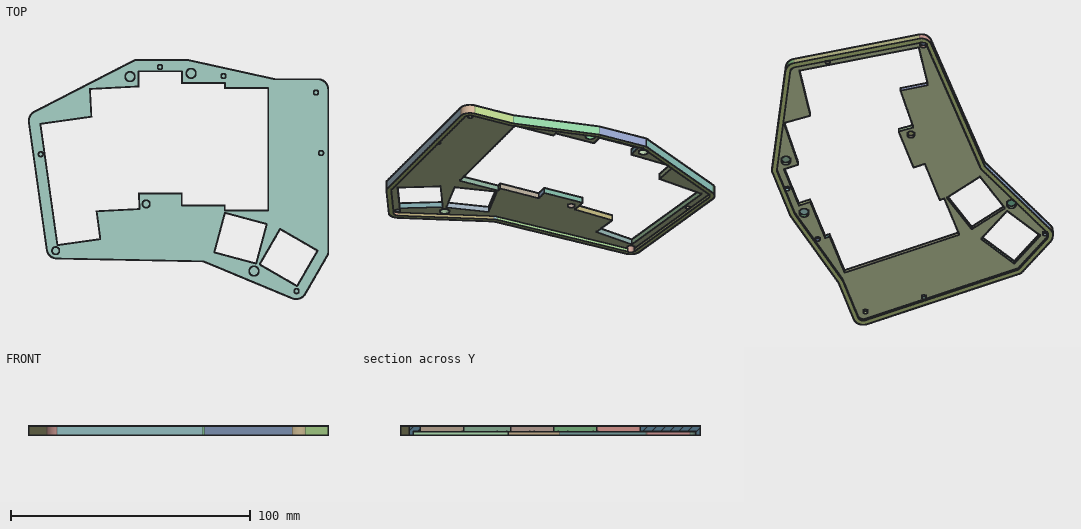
import cadquery as cq
import math

plate_length = 125.0
plate_depth = 99.8
plate_thickness = 4.0
corner_radius = 4.4
bend_radius = 2.1

rim_width = 2.0
recess_depth = 1.5
hole_depth = 3.6
pin_inset = 3.0

cell_width = 18.0
cell_height = 17.0
rows = 3
column_height = rows * cell_height

opening_right = 99.8
inner_bottom = 37.1
index_bottom = 39.1
middle_bottom = 44.1
index_right = opening_right - cell_width
middle_right = index_right - cell_width
middle_left = middle_right - cell_width

ring_corner = (28.2, 36.7)
ring_tilt = 3.0
pinky_corner = (12.0, 22.6)
pinky_tilt = 8.0
side_margin = 4.7

thumb_keys = [((81.8, 36.0), -15.0), ((104.8, 29.2), -30.0)]

shoulder_y = 91.8
shoulder_x = 102.6
crown_left = 44.4
crown_right = 66.4
crown_slope = 27.2
right_side_end = 18.9
thumb_side_slope = 60.0
bend_point = (72.9, 15.7)
thumb_rim_slope = -22.6
bottom_rim_slope = -1.1

blind_holes = {
    4.0: [(42.2, 92.8), (67.7, 94.2), (94.0, 11.7)],
    3.1: [(11.2, 20.2), (49.0, 39.7)],
    2.0: [
        (5.0, 60.5),
        (54.7, plate_depth - pin_inset),
        (81.2, 93.1),
        (119.8, 86.2),
        (plate_length - pin_inset, 61.0),
        (111.7, 3.4),
    ],
}


def from_corner(corner, tilt, along, up):
    """Point reached from a corner by moving along and up in axes tilted by an angle."""
    c = math.cos(math.radians(tilt))
    s = math.sin(math.radians(tilt))
    return (corner[0] + along * c - up * s, corner[1] + along * s + up * c)


def crossing(point_a, slope_a, point_b, slope_b):
    """Intersection of two lines, each given by a point and a direction in degrees."""
    ax, ay = math.cos(math.radians(slope_a)), math.sin(math.radians(slope_a))
    bx, by = math.cos(math.radians(slope_b)), math.sin(math.radians(slope_b))
    dx, dy = point_b[0] - point_a[0], point_b[1] - point_a[1]
    reach = (dx * by - dy * bx) / (ax * by - ay * bx)
    return (point_a[0] + reach * ax, point_a[1] + reach * ay)


def make_plate():
    """Plate blank with large outer corners rounded and two shallow bends eased."""
    crown_start = (crown_left, plate_depth)
    right_corner = (plate_length, right_side_end)
    left_side_point = from_corner(pinky_corner, pinky_tilt, -side_margin, 0)
    left_side_slope = pinky_tilt + 90
    left_top = crossing(left_side_point, left_side_slope, crown_start, crown_slope)
    left_bottom = crossing(left_side_point, left_side_slope, bend_point, bottom_rim_slope)
    thumb_tip = crossing(right_corner, thumb_side_slope, bend_point, thumb_rim_slope)
    right_top = (plate_length, shoulder_y)
    outline = [
        left_top,
        crown_start,
        (crown_right, plate_depth),
        (shoulder_x, shoulder_y),
        right_top,
        right_corner,
        thumb_tip,
        bend_point,
        left_bottom,
    ]
    plate = cq.Workplane("XY").polyline(outline).close().extrude(plate_thickness)
    rounded = [(corner, corner_radius) for corner in (left_top, right_top, thumb_tip, left_bottom)]
    rounded += [(bend, bend_radius) for bend in (right_corner, bend_point)]
    for (x, y), radius in rounded:
        middle = (x, y, plate_thickness / 2)
        plate = plate.edges(cq.selectors.NearestToPointSelector(middle)).fillet(radius)
    return plate


def make_finger_opening():
    """Stepped opening shared by all finger columns."""
    pinky_top_left = from_corner(pinky_corner, pinky_tilt, 0, column_height)
    ring_top_left = from_corner(ring_corner, ring_tilt, 0, column_height)
    outline = [
        pinky_corner,
        from_corner(pinky_corner, pinky_tilt, cell_width, 0),
        ring_corner,
        from_corner(ring_corner, ring_tilt, cell_width, 0),
        (middle_left, middle_bottom),
        (middle_right, middle_bottom),
        (middle_right, index_bottom),
        (index_right, index_bottom),
        (index_right, inner_bottom),
        (opening_right, inner_bottom),
        (opening_right, inner_bottom + column_height),
        (index_right, inner_bottom + column_height),
        (index_right, index_bottom + column_height),
        (middle_right, index_bottom + column_height),
        (middle_right, middle_bottom + column_height),
        (middle_left, middle_bottom + column_height),
        crossing(ring_top_left, ring_tilt, (middle_left, middle_bottom), 90),
        ring_top_left,
        crossing(pinky_top_left, pinky_tilt, ring_corner, ring_tilt + 90),
        pinky_top_left,
    ]
    return cq.Workplane("XY").polyline(outline).close().extrude(plate_thickness)


def make_thumb_opening(corner, tilt):
    """Single-cell opening hanging below its upper-left corner."""
    outline = [
        corner,
        from_corner(corner, tilt, cell_width, 0),
        from_corner(corner, tilt, cell_width, -cell_height),
        from_corner(corner, tilt, 0, -cell_height),
    ]
    return cq.Workplane("XY").polyline(outline).close().extrude(plate_thickness)


def make_recess(plate):
    """Shallow pocket in the underside, leaving a rim of even width."""
    outer_wire = plate.faces("<Z").wires().toPending()
    return outer_wire.offset2D(-rim_width).extrude(recess_depth, combine=False)


def make_blind_holes(diameter, centers):
    """Holes of one diameter rising from the underside."""
    return cq.Workplane("XY").pushPoints(centers).circle(diameter / 2).extrude(hole_depth)


plate = make_plate()
result = plate.cut(make_recess(plate)).cut(make_finger_opening())
for key_corner, key_tilt in thumb_keys:
    result = result.cut(make_thumb_opening(key_corner, key_tilt))
for hole_diameter, hole_centers in blind_holes.items():
    result = result.cut(make_blind_holes(hole_diameter, hole_centers))